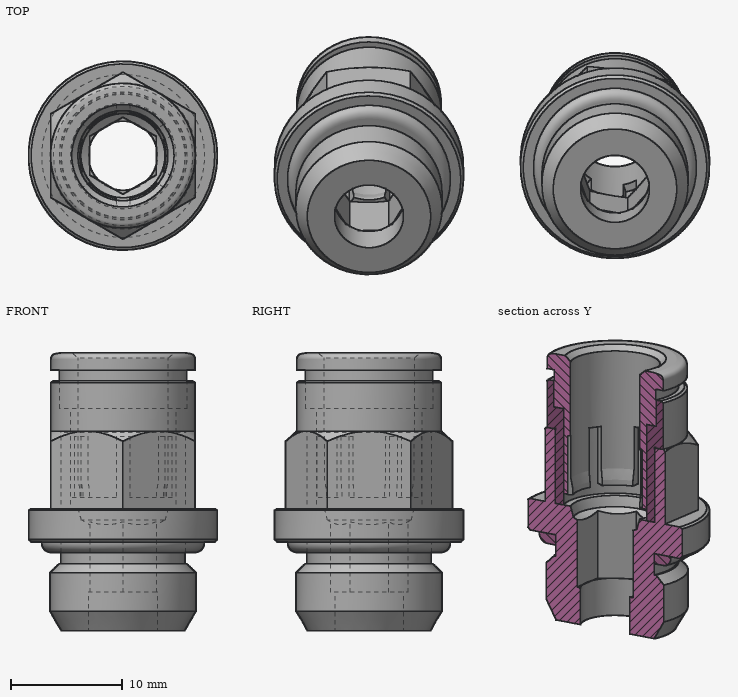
import cadquery as cq
import math


TOTAL_HEIGHT = 25.0
THREAD_LEAD_TOP = 1.78
THREAD_TOP = 5.22
NECK_BOTTOM = 6.02
SEAL_BOTTOM = 7.02
FLANGE_BOTTOM = 7.98
FLANGE_TOP = 10.98
HEX_TOP = 17.95
SLEEVE_TOP = 22.45
COLLET_HEAD_BOTTOM = 23.42

THREAD_RADIUS = 6.58
THREAD_LEAD_RADIUS = 5.55
THREAD_SHOULDER_RADIUS = 5.75
NECK_RADIUS = 5.6
FLANGE_RADIUS = 8.5
FLANGE_CHAMFER_WIDTH = 0.25
FLANGE_CHAMFER_TOP_HEIGHT = 0.15
FLANGE_CHAMFER_BOTTOM_HEIGHT = 0.25
HEX_ACROSS_FLATS = 13.0
HEX_CHAMFER_DROP = 0.92

BORE_RADIUS = 3.1
KEY_ACROSS_FLATS = 6.0
KEY_BOTTOM = 3.5
TUBE_STOP_RADIUS = 3.78
TUBE_STOP_HEIGHT = 10.0
TUBE_STOP_SLOPE = math.radians(30)
POCKET_RADIUS = 5.6
POCKET_BOTTOM = FLANGE_TOP
POCKET_CHAMFER = 0.12

SEAL_RADIUS = 7.32
SEAL_ROUND = 0.88

SLEEVE_RADIUS = 6.5
SLEEVE_CHAMFER_WIDTH = 0.25
SLEEVE_CHAMFER_HEIGHT = 0.15
SLEEVE_RECESS_BOTTOM = 20.0

COLLET_HEAD_RADIUS = SLEEVE_RADIUS
COLLET_NECK_RADIUS = 5.75
COLLET_STEM_RADIUS = 4.75
COLLET_BOTTOM = 12.0
TUBE_RADIUS = 4.05
MOUTH_RADIUS = 4.6
MOUTH_DEPTH = 0.48
HEAD_FLAT_RADIUS = 5.55
HEAD_SLOPE_WIDTH = 0.55
HEAD_SLOPE_ANGLE = math.radians(10)
HEAD_ROUND = 0.5
LIP_RADIUS = 3.88
LIP_HEIGHT = 0.5
LIP_TAPER_HEIGHT = 1.0
SLOT_COUNT = 6
SLOT_WIDTH = 1.22
SLOT_TOP = 17.5


def revolve(outline):
    """Turn a closed (radius, height) outline once around the Z axis."""
    return outline.close().revolve(360, (0, 0, 0), (0, 1, 0))


def turned(points):
    """Turned solid from straight-sided (radius, height) points."""
    return revolve(cq.Workplane("XZ").polyline(points))


def hex_prism(across_flats, bottom, top):
    """Hexagonal prism with two corners on the Y axis."""
    corner_diameter = across_flats / math.cos(math.pi / 6)
    prism = cq.Workplane("XY").workplane(offset=bottom).polygon(6, corner_diameter).extrude(top - bottom)
    return prism.rotate((0, 0, 0), (0, 0, 1), 30)


def chamfered_hex():
    """Wrench hexagon with its upper corners turned off by a cone."""
    flat_radius = HEX_ACROSS_FLATS / 2
    corner_radius = flat_radius / math.cos(math.pi / 6)
    envelope = turned([
        (0, FLANGE_TOP),
        (corner_radius, FLANGE_TOP),
        (corner_radius, HEX_TOP - HEX_CHAMFER_DROP),
        (flat_radius, HEX_TOP),
        (0, HEX_TOP),
    ])
    return hex_prism(HEX_ACROSS_FLATS, FLANGE_TOP, HEX_TOP).intersect(envelope)


def body_cavity():
    """Sleeve pocket and tube stop, hexagonal key socket and through bore."""
    key_radius = KEY_ACROSS_FLATS / 2
    key_top = TUBE_STOP_HEIGHT - (TUBE_STOP_RADIUS - key_radius) * math.tan(TUBE_STOP_SLOPE)
    pocket = turned([
        (0, key_top),
        (key_radius, key_top),
        (TUBE_STOP_RADIUS, TUBE_STOP_HEIGHT),
        (TUBE_RADIUS, POCKET_BOTTOM),
        (POCKET_RADIUS, POCKET_BOTTOM),
        (POCKET_RADIUS, HEX_TOP - POCKET_CHAMFER),
        (POCKET_RADIUS + POCKET_CHAMFER, HEX_TOP),
        (0, HEX_TOP),
    ])
    key_socket = hex_prism(KEY_ACROSS_FLATS, KEY_BOTTOM, TUBE_STOP_HEIGHT)
    bore = cq.Workplane("XY").circle(BORE_RADIUS).extrude(KEY_BOTTOM)
    return pocket.union(key_socket).union(bore)


def make_body():
    """Threaded end, seal neck, flange and wrench hexagon."""
    flange_face_radius = FLANGE_RADIUS - FLANGE_CHAMFER_WIDTH
    turned_part = turned([
        (0, 0),
        (THREAD_LEAD_RADIUS, 0),
        (THREAD_RADIUS, THREAD_LEAD_TOP),
        (THREAD_RADIUS, THREAD_TOP),
        (THREAD_SHOULDER_RADIUS, NECK_BOTTOM),
        (NECK_RADIUS, NECK_BOTTOM),
        (NECK_RADIUS, FLANGE_BOTTOM),
        (flange_face_radius, FLANGE_BOTTOM),
        (FLANGE_RADIUS, FLANGE_BOTTOM + FLANGE_CHAMFER_BOTTOM_HEIGHT),
        (FLANGE_RADIUS, FLANGE_TOP - FLANGE_CHAMFER_TOP_HEIGHT),
        (flange_face_radius, FLANGE_TOP),
        (0, FLANGE_TOP),
    ])
    return turned_part.union(chamfered_hex()).cut(body_cavity())


def make_seal():
    """Ring around the neck under the flange, with a rounded lower outer edge."""
    round_center_radius = SEAL_RADIUS - SEAL_ROUND
    round_center_height = SEAL_BOTTOM + SEAL_ROUND
    diagonal = SEAL_ROUND * math.sqrt(0.5)
    outline = (
        cq.Workplane("XZ")
        .moveTo(NECK_RADIUS, SEAL_BOTTOM)
        .lineTo(round_center_radius, SEAL_BOTTOM)
        .threePointArc(
            (round_center_radius + diagonal, round_center_height - diagonal),
            (SEAL_RADIUS, round_center_height),
        )
        .lineTo(SEAL_RADIUS, FLANGE_BOTTOM)
        .lineTo(NECK_RADIUS, FLANGE_BOTTOM)
    )
    return revolve(outline)


def make_sleeve():
    """Collar on top of the hexagon with a spigot filling the body pocket."""
    return turned([
        (COLLET_STEM_RADIUS, POCKET_BOTTOM),
        (POCKET_RADIUS, POCKET_BOTTOM),
        (POCKET_RADIUS, HEX_TOP),
        (SLEEVE_RADIUS, HEX_TOP),
        (SLEEVE_RADIUS, SLEEVE_TOP - SLEEVE_CHAMFER_HEIGHT),
        (SLEEVE_RADIUS - SLEEVE_CHAMFER_WIDTH, SLEEVE_TOP),
        (COLLET_NECK_RADIUS, SLEEVE_TOP),
        (COLLET_NECK_RADIUS, SLEEVE_RECESS_BOTTOM),
        (COLLET_STEM_RADIUS, SLEEVE_RECESS_BOTTOM),
    ])


def collet_blank():
    """Collet without slots: domed head, neck, stem and a bore narrowing to a lip."""
    slope_radius = HEAD_FLAT_RADIUS + HEAD_SLOPE_WIDTH
    slope_height = TOTAL_HEIGHT - HEAD_SLOPE_WIDTH * math.tan(HEAD_SLOPE_ANGLE)
    round_center_radius = COLLET_HEAD_RADIUS - HEAD_ROUND
    round_center_height = slope_height - HEAD_ROUND * math.cos(HEAD_SLOPE_ANGLE)
    diagonal = HEAD_ROUND * math.sqrt(0.5)
    lip_top = COLLET_BOTTOM + LIP_HEIGHT
    outline = (
        cq.Workplane("XZ")
        .moveTo(LIP_RADIUS, COLLET_BOTTOM)
        .lineTo(COLLET_STEM_RADIUS, COLLET_BOTTOM)
        .lineTo(COLLET_STEM_RADIUS, SLEEVE_RECESS_BOTTOM)
        .lineTo(COLLET_NECK_RADIUS, SLEEVE_RECESS_BOTTOM)
        .lineTo(COLLET_NECK_RADIUS, COLLET_HEAD_BOTTOM)
        .lineTo(COLLET_HEAD_RADIUS, COLLET_HEAD_BOTTOM)
        .lineTo(COLLET_HEAD_RADIUS, round_center_height)
        .threePointArc(
            (round_center_radius + diagonal, round_center_height + diagonal),
            (slope_radius, slope_height),
        )
        .lineTo(HEAD_FLAT_RADIUS, TOTAL_HEIGHT)
        .lineTo(MOUTH_RADIUS, TOTAL_HEIGHT)
        .lineTo(TUBE_RADIUS, TOTAL_HEIGHT - MOUTH_DEPTH)
        .lineTo(TUBE_RADIUS, lip_top + LIP_TAPER_HEIGHT)
        .lineTo(LIP_RADIUS, lip_top)
    )
    return revolve(outline)


def make_collet():
    """Release collet with slots splitting its lower end into fingers."""
    collet = collet_blank()
    slot = (
        cq.Workplane("XY")
        .workplane(offset=COLLET_BOTTOM)
        .rect(2 * COLLET_NECK_RADIUS, SLOT_WIDTH)
        .extrude(SLOT_TOP - COLLET_BOTTOM)
    )
    for index in range(SLOT_COUNT // 2):
        angle = (index + 0.5) * 360 / SLOT_COUNT
        collet = collet.cut(slot.rotate((0, 0, 0), (0, 0, 1), angle))
    return collet


body = make_body()
seal = make_seal()
sleeve = make_sleeve()
collet = make_collet()

result = cq.Compound.makeCompound([
    body.solids().val(),
    seal.solids().val(),
    sleeve.solids().val(),
    collet.solids().val(),
])